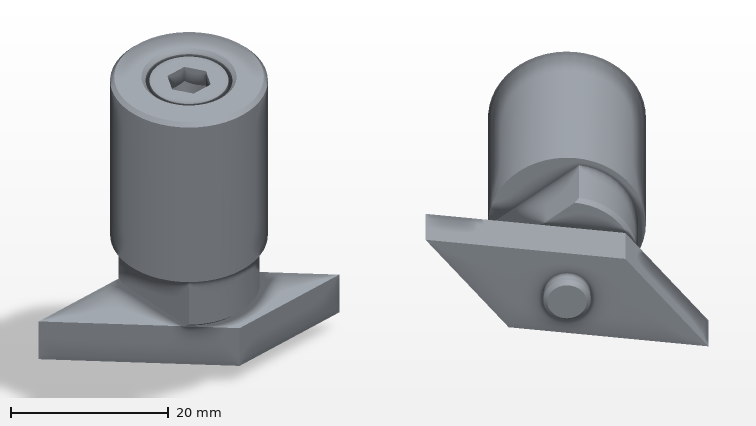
import cadquery as cq
import math

total_height = 43.0
sleeve_length = 25.0
boss_length = 8.0
nut_bottom = 2.0
nut_thickness = 5.98
edge_chamfer = 0.5

sleeve_diameter = 20.0
boss_diameter = 18.0
boss_across_flats = 12.0
bore_diameter = 11.0

head_diameter = 10.0
head_height = 6.0
shank_diameter = 6.0
socket_across_flats = 5.0
socket_depth = 2.25
socket_cone_angle = 120.0

nut_width = boss_diameter
nut_length = 34.95
nut_slant_angle = 45.0

shoulder_level = total_height - sleeve_length
boss_bottom = shoulder_level - boss_length
head_top = total_height - edge_chamfer
head_seat = head_top - head_height


def cylinder(diameter, bottom, top):
    return cq.Workplane("XY").workplane(offset=bottom).circle(diameter / 2).extrude(top - bottom)


def make_boss():
    """Boss chamfered at its round lower edge, then cut by two flats facing along Y."""
    boss = cylinder(boss_diameter, boss_bottom, shoulder_level).faces("<Z").chamfer(edge_chamfer)
    flats = (
        cq.Workplane("XY")
        .workplane(offset=boss_bottom)
        .rect(boss_diameter, boss_across_flats)
        .extrude(boss_length)
    )
    return boss.intersect(flats)


def make_housing():
    """Sleeve and boss with a stepped hole for the screw head and shank."""
    sleeve = cylinder(sleeve_diameter, shoulder_level, total_height)
    bored_sleeve = sleeve.cut(cylinder(bore_diameter, head_seat, total_height))
    bored_sleeve = bored_sleeve.faces(">Z").chamfer(edge_chamfer)
    shank_hole = cylinder(shank_diameter, boss_bottom, head_seat)
    return bored_sleeve.union(make_boss()).cut(shank_hole)


def make_socket():
    """Hexagonal socket with corners along Y and a conical drill-point floor."""
    corner_diameter = socket_across_flats / math.cos(math.radians(30))
    corner_radius = corner_diameter / 2
    cone_height = corner_radius / math.tan(math.radians(socket_cone_angle / 2))
    hexagon = (
        cq.Workplane("XY")
        .workplane(offset=head_top)
        .transformed(rotate=(0, 0, 90))
        .polygon(6, corner_diameter)
        .extrude(-socket_depth - cone_height)
    )
    cone_rim = head_top - socket_depth
    drill_point = (
        cq.Workplane("XZ")
        .moveTo(0, cone_rim - cone_height)
        .lineTo(corner_radius, cone_rim)
        .lineTo(corner_radius, head_top)
        .lineTo(0, head_top)
        .close()
        .revolve(360)
    )
    return hexagon.intersect(drill_point)


def make_nut():
    half_width = nut_width / 2
    half_length = nut_length / 2
    slant_rise = nut_width * math.tan(math.radians(nut_slant_angle))
    corners = [
        (-half_width, -half_length),
        (half_width, -half_length + slant_rise),
        (half_width, half_length),
        (-half_width, half_length - slant_rise),
    ]
    return cq.Workplane("XY").workplane(offset=nut_bottom).polyline(corners).close().extrude(nut_thickness)


def make_clamp_screw():
    """Socket-head screw and its nut as one solid."""
    shank = cylinder(shank_diameter, 0, head_seat).faces("<Z").chamfer(edge_chamfer)
    head = cylinder(head_diameter, head_seat, head_top)
    return shank.union(head).cut(make_socket()).union(make_nut())


housing = make_housing()
clamp_screw = make_clamp_screw()

result = cq.Compound.makeCompound([housing.val(), clamp_screw.val()])